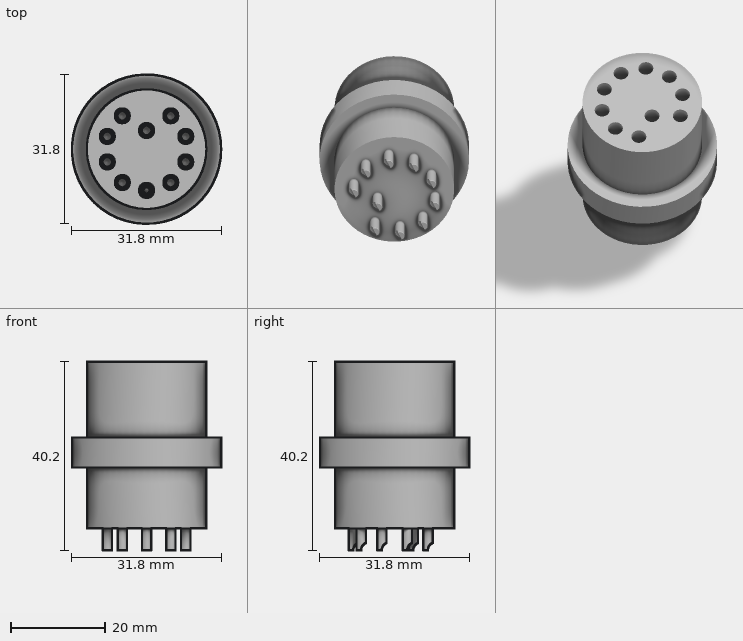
import cadquery as cq
import math

TOTAL_HEIGHT = 40.16
TAIL_LENGTH = 4.76
FLANGE_BOTTOM = 17.65
FLANGE_THICKNESS = 6.4

BODY_DIAMETER = 25.4
FLANGE_DIAMETER = 31.75

CONTACT_COUNT = 10
PITCH_RADIUS = 8.76
KEY_CONTACT_RADIUS = 3.97
PIN_CONTACT = 6

MOUTH_DIAMETER = 3.17
MOUTH_DEPTH = 6.35
MOUTH_FLOOR_DIAMETER = 2.73
SOCKET_DIAMETER = 2.06
SOCKET_DEPTH = 12.7
DRILL_POINT_ANGLE = 118

PIN_DIAMETER = 1.32
PIN_LENGTH = 3.0

TAIL_DIAMETER = 2.04
TAIL_CHAMFER = 0.1
SCOOP_HEIGHT = 1.65
SCOOP_DEPTH = 1.02
SCOOP_RADIUS = 1.65


def cone_height(diameter):
    """Height of a drill-point cone of the given base diameter."""
    return diameter / 2 / math.tan(math.radians(DRILL_POINT_ANGLE / 2))


def contact_position(number):
    """XY centre of a contact; numbers run anticlockwise from the +Y axis."""
    radius = KEY_CONTACT_RADIUS if number == 1 else PITCH_RADIUS
    angle = math.radians(90 + (number - 1) * 360 / CONTACT_COUNT)
    return radius * math.cos(angle), radius * math.sin(angle)


def cylinder(diameter, bottom, top):
    """Upright cylinder on the Z axis."""
    return cq.Workplane("XY").workplane(offset=bottom).circle(diameter / 2).extrude(top - bottom)


def make_body():
    body = cylinder(BODY_DIAMETER, TAIL_LENGTH, TOTAL_HEIGHT)
    flange = cylinder(FLANGE_DIAMETER, FLANGE_BOTTOM, FLANGE_BOTTOM + FLANGE_THICKNESS)
    return body.union(flange)


def make_bore():
    """Stepped bore cutter: wide mouth with a tapered foot, socket, then a drill-point floor."""
    mouth_floor = TOTAL_HEIGHT - MOUTH_DEPTH
    taper_height = (MOUTH_DIAMETER - MOUTH_FLOOR_DIAMETER) / 2
    socket_floor = TOTAL_HEIGHT - SOCKET_DEPTH
    return (
        cq.Workplane("XZ")
        .moveTo(0, TOTAL_HEIGHT)
        .lineTo(MOUTH_DIAMETER / 2, TOTAL_HEIGHT)
        .lineTo(MOUTH_DIAMETER / 2, mouth_floor + taper_height)
        .lineTo(MOUTH_FLOOR_DIAMETER / 2, mouth_floor)
        .lineTo(SOCKET_DIAMETER / 2, mouth_floor)
        .lineTo(SOCKET_DIAMETER / 2, socket_floor)
        .lineTo(0, socket_floor - cone_height(SOCKET_DIAMETER))
        .close()
        .revolve(360, (0, 0), (0, 1))
    )


def make_pin():
    """Pointed pin rooted below the drill-point floor of the socket."""
    root = TOTAL_HEIGHT - SOCKET_DEPTH - cone_height(SOCKET_DIAMETER)
    shoulder = root + PIN_LENGTH
    return (
        cq.Workplane("XZ")
        .moveTo(0, root)
        .lineTo(PIN_DIAMETER / 2, root)
        .lineTo(PIN_DIAMETER / 2, shoulder)
        .lineTo(0, shoulder + cone_height(PIN_DIAMETER))
        .close()
        .revolve(360, (0, 0), (0, 1))
    )


def make_tail():
    """Round contact tail whose +Y side is scooped away along a concave arc."""
    rod = cylinder(TAIL_DIAMETER, 0, TAIL_LENGTH).faces("<Z").chamfer(TAIL_CHAMFER)
    side = TAIL_DIAMETER / 2
    flat = side - SCOOP_DEPTH
    scoop = (
        cq.Workplane("YZ")
        .moveTo(flat, 0)
        .lineTo(side, 0)
        .lineTo(side, SCOOP_HEIGHT)
        .radiusArc((flat, 0), -SCOOP_RADIUS)
        .close()
        .extrude(TAIL_DIAMETER, both=True)
    )
    return rod.cut(scoop)


result = make_body()
bore = make_bore()
tail = make_tail()
for contact in range(1, CONTACT_COUNT + 1):
    x, y = contact_position(contact)
    result = result.cut(bore.translate((x, y, 0)))
    result = result.union(tail.translate((x, y, 0)))

pin_x, pin_y = contact_position(PIN_CONTACT)
result = result.union(make_pin().translate((pin_x, pin_y, 0)))